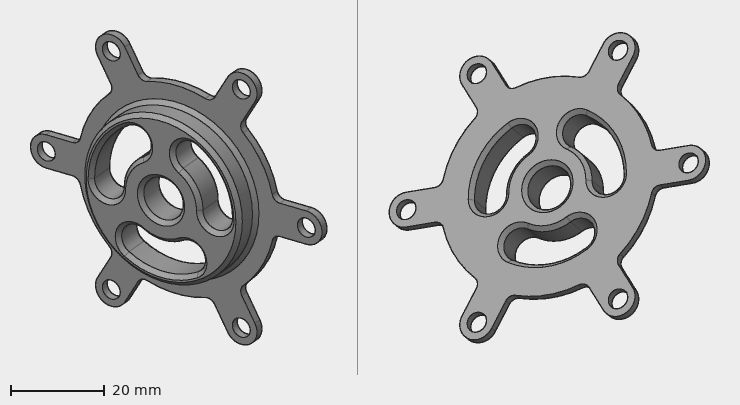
import cadquery as cq
import math

plate_radius = 25.0
plate_thickness = 2.0
total_depth = 8.0

arm_count = 6
arm_width = 8.0
arm_hole_circle_radius = 33.0
arm_hole_diameter = 4.5
arm_root_fillet = 2.0
rim_tolerance = 0.01

boss_radius = 20.0
chamfer = 1.0

bore_radius = 5.0
slot_count = 3
slot_inner_radius = 10.0
slot_outer_radius = 17.5
slot_sweep = 60.0
slot_mid_radius = (slot_inner_radius + slot_outer_radius) / 2
slot_end_radius = (slot_outer_radius - slot_inner_radius) / 2


def polar(radius, degrees):
    angle = math.radians(degrees)
    return (radius * math.cos(angle), radius * math.sin(angle))


def back_plane():
    """Workplane on the back face, extruding toward -Y."""
    return cq.Workplane("XZ")


def is_on_plate_rim(edge):
    middle = edge.Center()
    return abs(math.hypot(middle.x, middle.z) - plate_radius) < rim_tolerance


def make_plate():
    plate = back_plane().circle(plate_radius).extrude(plate_thickness)
    arm_blank = (
        back_plane()
        .center(arm_hole_circle_radius / 2, 0)
        .rect(arm_hole_circle_radius, arm_width)
        .extrude(plate_thickness)
    )
    arm_tip = (
        back_plane()
        .center(arm_hole_circle_radius, 0)
        .circle(arm_width / 2)
        .extrude(plate_thickness)
    )
    arm = arm_blank.union(arm_tip)
    for index in range(arm_count):
        plate = plate.union(arm.rotate((0, 0, 0), (0, 1, 0), index * 360 / arm_count))

    root_corners = plate.edges("|Y").filter(is_on_plate_rim)
    plate = root_corners.fillet(arm_root_fillet)

    holes = (
        back_plane()
        .polarArray(arm_hole_circle_radius, 0, 360, arm_count)
        .circle(arm_hole_diameter / 2)
        .extrude(plate_thickness)
    )
    return plate.cut(holes)


def make_boss():
    """Boss revolved about the Y axis, with a flared root and a chamfered front rim."""
    return (
        cq.Workplane("XY")
        .moveTo(0, 0)
        .lineTo(boss_radius + chamfer, 0)
        .lineTo(boss_radius + chamfer, -plate_thickness)
        .lineTo(boss_radius, -plate_thickness - chamfer)
        .lineTo(boss_radius, -total_depth + chamfer)
        .lineTo(boss_radius - chamfer, -total_depth)
        .lineTo(0, -total_depth)
        .close()
        .revolve(360, (0, 0, 0), (0, 1, 0))
    )


def slot_cap_tip(end_angle, outward_angle):
    """Farthest point of a rounded slot end, in the direction leading out of the slot."""
    centre_x, centre_z = polar(slot_mid_radius, end_angle)
    offset_x, offset_z = polar(slot_end_radius, outward_angle)
    return (centre_x + offset_x, centre_z + offset_z)


def make_slot_cutter(start_angle):
    """Curved slot with round ends, centred on the part axis."""
    end_angle = start_angle + slot_sweep
    mid_angle = start_angle + slot_sweep / 2
    start_tip = slot_cap_tip(start_angle, start_angle - 90)
    end_tip = slot_cap_tip(end_angle, end_angle + 90)
    return (
        back_plane()
        .moveTo(*polar(slot_outer_radius, start_angle))
        .threePointArc(polar(slot_outer_radius, mid_angle), polar(slot_outer_radius, end_angle))
        .threePointArc(end_tip, polar(slot_inner_radius, end_angle))
        .threePointArc(polar(slot_inner_radius, mid_angle), polar(slot_inner_radius, start_angle))
        .threePointArc(start_tip, polar(slot_outer_radius, start_angle))
        .close()
        .extrude(total_depth)
    )


def is_within_boss(wire):
    middle = wire.Center()
    return math.hypot(middle.x, middle.z) < boss_radius


def cut_openings(body):
    bore = back_plane().circle(bore_radius).extrude(total_depth)
    body = body.cut(bore)
    for index in range(slot_count):
        body = body.cut(make_slot_cutter(index * 360 / slot_count))
    end_faces = [body.faces("<Y").val(), body.faces(">Y").val()]
    openings = [wire for face in end_faces for wire in face.innerWires() if is_within_boss(wire)]
    opening_edges = [edge for wire in openings for edge in wire.Edges()]
    return body.newObject(opening_edges).chamfer(chamfer)


result = cut_openings(make_plate().union(make_boss()))